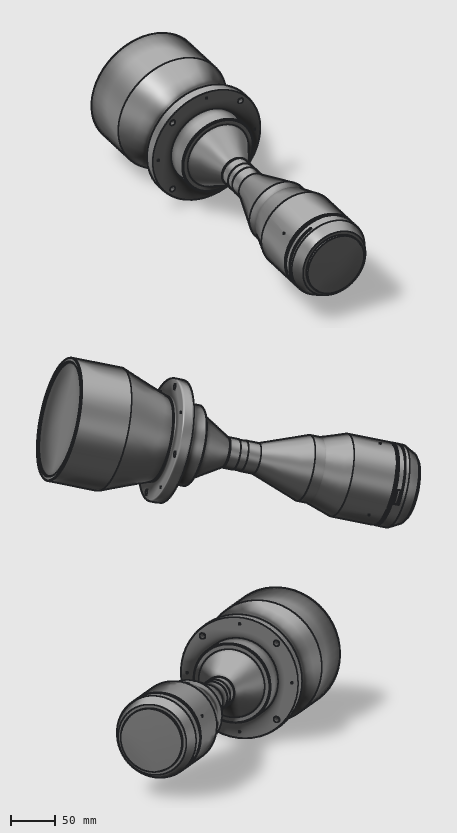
import cadquery as cq
import math

LENGTH = 422.8
BARREL_END = 60.5
HOOD_END = 119.0
FLANGE_FRONT = 122.5
FLANGE_BACK = 136.0
SLEEVE_END = 161.5
NECK_START = 199.5
NECK_COLLAR_START = 213.0
NECK_COLLAR_END = 222.5
NECK_END = 237.5
WAIST_START = 295.0
WAIST_END = 307.8
HOUSING_START = 338.2
HOUSING_END = 389.5
RING_START = 391.5
RING_END = 405.5
RING_TAPER_END = 419.0
EYEPIECE_END = 422.5

BARREL_R = 71.0
LENS_R = 65.0
HOOD_R = 49.5
FLANGE_R = 71.0
SLEEVE_R = 46.5
SLEEVE_CONE_R = 39.7
NECK_R = 17.8
COLLAR_R = 17.5
WAIST_R = 38.0
HOUSING_R = 47.8
RING_GAP_R = 45.5
RING_TAPER_R = 41.0
EYEPIECE_R = 36.8

FRONT_CHAMFER = 1.0
LENS_RECESS = 1.3
LENS_SAG = 1.0
EYEPIECE_SAG = LENGTH - EYEPIECE_END
FLANGE_FILLET = 2.5
FLANGE_BACK_BEVEL = 2.5
FLANGE_BACK_DROP = 0.5
FLANGE_ROOT_FILLET = 2.0
RIM_CHAMFER = 1.3
JOINT_WIDTH = 1.3
JOINT_DEPTH = 0.5

HOLE_CIRCLE_R = 63.0
BOLT_HOLE_D = 6.8
PIN_HOLE_D = 2.0

SET_SCREW_X = 373.0
SET_SCREW_D = 2.0
SET_SCREW_DEPTH = 2.5
SET_SCREW_FIRST_ANGLE = 25.0
SET_SCREW_COUNT = 3

SCRIBE_X = 399.5
SCRIBE_WIDTH = 1.3
SCRIBE_DEPTH = 1.0
SCRIBE_START_ANGLE = 114.0
SCRIBE_END_ANGLE = 238.0
SLOT_X = 396.5
SLOT_WIDTH = 4.0
SLOT_DEPTH = 1.5
SLOT_START_ANGLE = 217.0
SLOT_END_ANGLE = 238.0


def revolve_about_x(profile):
    """Turn a closed profile, drawn as (axial, radial), into a full solid about X."""
    return profile.close().revolve(360, (0, 0, 0), (1, 0, 0))


def make_body():
    """Turned outline of the whole lens, from the front rim to the rear dome."""
    profile = (
        cq.Workplane("XY")
        .moveTo(0, 0)
        .lineTo(0, BARREL_R - FRONT_CHAMFER)
        .lineTo(FRONT_CHAMFER, BARREL_R)
        .lineTo(BARREL_END, BARREL_R)
        .lineTo(HOOD_END, HOOD_R)
        .lineTo(FLANGE_FRONT - FLANGE_ROOT_FILLET, HOOD_R)
        .radiusArc((FLANGE_FRONT, HOOD_R + FLANGE_ROOT_FILLET), -FLANGE_ROOT_FILLET)
        .lineTo(FLANGE_FRONT, FLANGE_R - FLANGE_FILLET)
        .radiusArc((FLANGE_FRONT + FLANGE_FILLET, FLANGE_R), FLANGE_FILLET)
        .lineTo(FLANGE_BACK - FLANGE_BACK_BEVEL, FLANGE_R)
        .lineTo(FLANGE_BACK, FLANGE_R - FLANGE_BACK_DROP)
        .lineTo(FLANGE_BACK, SLEEVE_R)
        .lineTo(SLEEVE_END - RIM_CHAMFER, SLEEVE_R)
        .lineTo(SLEEVE_END, SLEEVE_R - RIM_CHAMFER)
        .lineTo(SLEEVE_END, SLEEVE_CONE_R)
        .lineTo(NECK_START, NECK_R)
        .lineTo(NECK_COLLAR_START, NECK_R)
        .lineTo(NECK_COLLAR_START, COLLAR_R)
        .lineTo(NECK_COLLAR_END, COLLAR_R)
        .lineTo(NECK_COLLAR_END, NECK_R)
        .lineTo(NECK_END, NECK_R)
        .lineTo(WAIST_START, WAIST_R)
        .lineTo(WAIST_END, WAIST_R)
        .lineTo(HOUSING_START, HOUSING_R)
        .lineTo(HOUSING_END, HOUSING_R)
        .lineTo(HOUSING_END, RING_GAP_R)
        .lineTo(RING_START, RING_GAP_R)
        .lineTo(RING_START, HOUSING_R - RIM_CHAMFER)
        .lineTo(RING_START + RIM_CHAMFER, HOUSING_R)
        .lineTo(RING_END, HOUSING_R)
        .lineTo(RING_TAPER_END, RING_TAPER_R)
        .lineTo(RING_TAPER_END, EYEPIECE_R)
        .lineTo(EYEPIECE_END, EYEPIECE_R)
        .radiusArc((LENGTH, 0), (EYEPIECE_R**2 + EYEPIECE_SAG**2) / (2 * EYEPIECE_SAG))
    )
    return revolve_about_x(profile)


def front_lens_recess():
    """Shallow recess with a 45 degree wall behind the front rim, whose floor is the convex lens face."""
    lens_sphere_r = (LENS_R**2 + LENS_SAG**2) / (2 * LENS_SAG)
    profile = (
        cq.Workplane("XY")
        .moveTo(0, 0)
        .lineTo(0, LENS_R + LENS_RECESS)
        .lineTo(LENS_RECESS, LENS_R)
        .radiusArc((LENS_RECESS - LENS_SAG, 0), -lens_sphere_r)
    )
    return revolve_about_x(profile)


def ring_cut(start_x, width, outer_r, depth):
    """Square-sided ring used to cut a groove around the X axis."""
    return (
        cq.Workplane("YZ", origin=(start_x, 0, 0))
        .circle(outer_r)
        .circle(outer_r - depth)
        .extrude(width)
    )


def arc_groove(start_x, width, depth, start_angle, end_angle):
    """Groove in the rear ring that runs only between two angles about X."""
    reach = 2 * HOUSING_R
    half_angle = math.radians((end_angle - start_angle) / 2)
    spread = reach * math.tan(half_angle)
    sector = (
        cq.Workplane("YZ", origin=(start_x, 0, 0))
        .polyline([(0, 0), (reach, -spread), (reach, spread)])
        .close()
        .extrude(width)
        .rotate((0, 0, 0), (1, 0, 0), (start_angle + end_angle) / 2)
    )
    return ring_cut(start_x, width, HOUSING_R, depth).intersect(sector)


def flange_holes(diameter, first_angle):
    """Four through holes on the flange hole circle."""
    return (
        cq.Workplane("YZ", origin=(FLANGE_FRONT, 0, 0))
        .polarArray(HOLE_CIRCLE_R, first_angle, 360, 4)
        .circle(diameter / 2)
        .extrude(FLANGE_BACK - FLANGE_FRONT)
    )


def set_screw_hole(angle):
    """Radial blind hole in the rear housing at an angle from +Y toward +Z."""
    return (
        cq.Workplane("XZ", origin=(SET_SCREW_X, HOUSING_R, 0))
        .circle(SET_SCREW_D / 2)
        .extrude(SET_SCREW_DEPTH)
        .rotate((0, 0, 0), (1, 0, 0), angle)
    )


result = make_body().cut(front_lens_recess())

for joint_x, joint_r in ((HOOD_END, HOOD_R), (NECK_START, NECK_R)):
    result = result.cut(ring_cut(joint_x, JOINT_WIDTH, joint_r, JOINT_DEPTH))

result = result.cut(flange_holes(BOLT_HOLE_D, 45))
result = result.cut(flange_holes(PIN_HOLE_D, 0))

for index in range(SET_SCREW_COUNT):
    screw_angle = SET_SCREW_FIRST_ANGLE + index * 360 / SET_SCREW_COUNT
    result = result.cut(set_screw_hole(screw_angle))

result = result.cut(
    arc_groove(SCRIBE_X, SCRIBE_WIDTH, SCRIBE_DEPTH, SCRIBE_START_ANGLE, SCRIBE_END_ANGLE)
)
result = result.cut(
    arc_groove(SLOT_X - SLOT_WIDTH / 2, SLOT_WIDTH, SLOT_DEPTH, SLOT_START_ANGLE, SLOT_END_ANGLE)
)